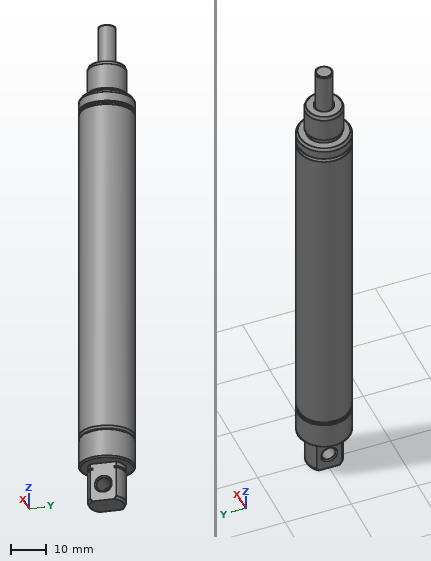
import cadquery as cq

total_length = 145.8
barrel_radius = 7.9

rod_radius = 2.5
rod_exposed_length = 12.4
rod_depth_in_housing = 9.8
rod_bottom = total_length - rod_exposed_length - rod_depth_in_housing
rod_end_chamfer = 0.3

nose_radius = 5.5
nose_top = total_length - rod_exposed_length
nose_chamfer = 1.0
nose_edge_inset = 0.5
relief_radius = 5.1
relief_height = 1.5
shoulder_top = rod_bottom
relief_top = shoulder_top + relief_height
bore_mouth_chamfer = 0.5

shoulder_chamfer = 0.9
shoulder_edge_inset = 0.6
groove_depth = 0.5
groove_floor_width = 0.5
groove_slope_height = 0.7
upper_cap_bottom = 120.1
lower_cap_top = 19.8
body_bottom = 11.4
body_bottom_chamfer = 0.5

tang_radius = 5.4
tang_thickness = 7.7
tang_chamfer = 0.9
tang_edge_inset = 0.5
tang_groove_depth = 0.5
tang_groove_bottom = 9.6
tang_groove_top = 10.0
pin_hole_radius = 2.0
pin_hole_height = 5.0
pin_hole_chamfer = 0.5


def make_turned_body():
    """Revolve the stepped main body and nose about Z."""
    groove_radius = barrel_radius - groove_depth
    lower_floor_end = lower_cap_top + groove_floor_width
    upper_floor_end = upper_cap_bottom - groove_floor_width
    profile = [
        (0, body_bottom),
        (barrel_radius - body_bottom_chamfer, body_bottom),
        (barrel_radius, body_bottom + body_bottom_chamfer),
        (barrel_radius, lower_cap_top),
        (groove_radius, lower_cap_top),
        (groove_radius, lower_floor_end),
        (barrel_radius, lower_floor_end + groove_slope_height),
        (barrel_radius, upper_floor_end - groove_slope_height),
        (groove_radius, upper_floor_end),
        (groove_radius, upper_cap_bottom),
        (barrel_radius, upper_cap_bottom),
        (barrel_radius, shoulder_top - shoulder_chamfer),
        (barrel_radius - shoulder_edge_inset, shoulder_top),
        (relief_radius, shoulder_top),
        (relief_radius, relief_top),
        (nose_radius, relief_top),
        (nose_radius, nose_top - nose_chamfer),
        (nose_radius - nose_edge_inset, nose_top),
        (0, nose_top),
    ]
    return cq.Workplane("XZ").polyline(profile).close().revolve(360, (0, 0), (0, 1))


def make_tang():
    """Turn the tang, cut its flats and drill the pin hole through them, countersunk on both sides."""
    groove_radius = tang_radius - tang_groove_depth
    profile = [
        (0, 0),
        (tang_radius - tang_edge_inset, 0),
        (tang_radius, tang_chamfer),
        (tang_radius, tang_groove_bottom),
        (groove_radius, tang_groove_bottom),
        (groove_radius, tang_groove_top),
        (tang_radius, tang_groove_top),
        (tang_radius, body_bottom),
        (0, body_bottom),
    ]
    stub = cq.Workplane("XZ").polyline(profile).close().revolve(360, (0, 0), (0, 1))
    flats = cq.Workplane("XY").rect(tang_thickness, 2 * tang_radius).extrude(body_bottom)
    half_thickness = tang_thickness / 2
    mouth_radius = pin_hole_radius + pin_hole_chamfer
    hole_profile = [
        (-half_thickness, 0),
        (-half_thickness, mouth_radius),
        (-half_thickness + pin_hole_chamfer, pin_hole_radius),
        (half_thickness - pin_hole_chamfer, pin_hole_radius),
        (half_thickness, mouth_radius),
        (half_thickness, 0),
    ]
    pin_hole = (
        cq.Workplane("XZ", origin=(0, 0, pin_hole_height))
        .polyline(hole_profile)
        .close()
        .revolve(360, (0, 0), (1, 0))
    )
    return stub.intersect(flats).cut(pin_hole)


def make_rod_bore():
    """Shape removed for the rod: a blind bore with a countersunk mouth."""
    mouth_radius = rod_radius + bore_mouth_chamfer
    profile = [
        (0, rod_bottom),
        (rod_radius, rod_bottom),
        (rod_radius, nose_top - bore_mouth_chamfer),
        (mouth_radius, nose_top),
        (0, nose_top),
    ]
    return cq.Workplane("XZ").polyline(profile).close().revolve(360, (0, 0), (0, 1))


def make_housing():
    """Join the turned body and its tang, then open the rod bore."""
    return make_turned_body().union(make_tang()).cut(make_rod_bore())


def make_rod():
    """Plain round rod, chamfered at its free end."""
    rod_length = total_length - rod_bottom
    rod = cq.Workplane("XY").workplane(offset=rod_bottom).circle(rod_radius).extrude(rod_length)
    return rod.faces(">Z").edges().chamfer(rod_end_chamfer)


housing = make_housing()
rod = make_rod()
result = cq.Compound.makeCompound([housing.val(), rod.val()])